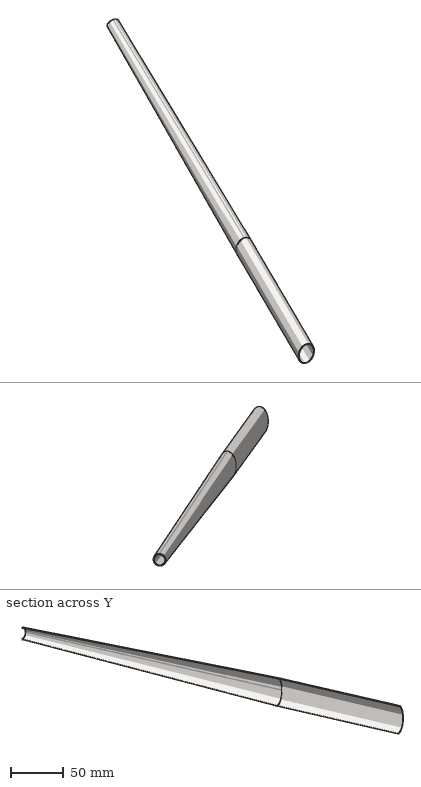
import cadquery as cq

total_length = 450.0
taper_length = 305.0
handle_length = total_length - taper_length

tip_diameter = 12.5
handle_width = 17.0
handle_height = 29.0
wall = 1.12


def elliptical_bar(length, inset):
    """Straight elliptical bar along +X, its outline moved inward by the inset."""
    return (
        cq.Workplane("YZ", origin=(taper_length, 0, 0))
        .ellipse(handle_width / 2 - inset, handle_height / 2 - inset)
        .extrude(length)
    )


def tapered_bar(inset):
    """Loft from the round tip to the elliptical joint, both moved inward by the inset."""
    return (
        cq.Workplane("YZ")
        .ellipse(tip_diameter / 2 - inset, tip_diameter / 2 - inset)
        .workplane(offset=taper_length)
        .ellipse(handle_width / 2 - inset, handle_height / 2 - inset)
        .loft(ruled=True)
    )


tapered_tube = tapered_bar(0).cut(tapered_bar(wall))

handle_tube = elliptical_bar(handle_length, 0).cut(elliptical_bar(handle_length, wall))

result = cq.Compound.makeCompound([tapered_tube.val(), handle_tube.val()])